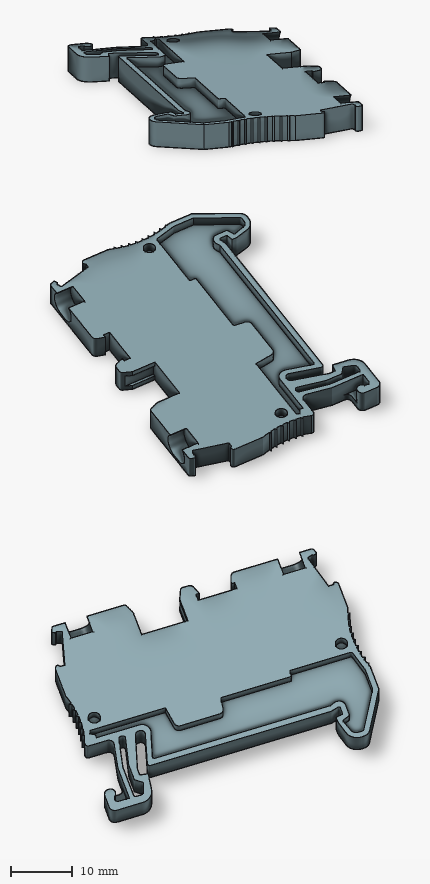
import cadquery as cq
import math

length = 48.5
height = 35.2
thickness = 4.2

neck_y = 12.6
slot_floor_y = 32.2
rail_y = 6.0
foot_x = 0.15
strut_x = 3.8
foot_top_y = 4.05

lip_x = 0.15
lip_y = 13.3
lip_top_y = 14.45

recess_depth = 1.65
foot_floor = 1.2
foot_tip_radius = 0.9

finger_x = 23.2
wide_slot_floor_y = 29.2
finger_skin = 0.9
finger_setback = 0.5

hole_diameter = 2.0
hole_depth = 1.65
hole_inset = 3.1
hole_y = 17.2

groove_inset = 6.05
groove_flat = 1.3
groove_radius = 2.05
groove_center_z = 2.55

grip_radius = 15.5
grip_y = 17.4
left_grip_depth = 0.82
right_grip_depth = 1.05
ridge_pitch = 1.2
ridge_height = 0.4
ridge_width = 0.4


def rounded_profile(corners):
    """Closed wire through corners (x, y) or (x, y, radius); a radius rounds that corner."""
    path = None
    count = len(corners)
    for i in range(count):
        corner = cq.Vector(*corners[i][:2])
        if len(corners[i]) == 2:
            points = [corner]
        else:
            radius = corners[i][2]
            to_last = (cq.Vector(*corners[i - 1][:2]) - corner).normalized()
            to_next = (cq.Vector(*corners[(i + 1) % count][:2]) - corner).normalized()
            half_angle = to_last.getAngle(to_next) / 2
            setback = radius / math.tan(half_angle)
            bulge = radius / math.sin(half_angle) - radius
            middle = corner + (to_last + to_next).normalized() * bulge
            points = [corner + to_last * setback, middle, corner + to_next * setback]
        points = [point.toTuple()[:2] for point in points]
        if path is None:
            path = cq.Workplane("XY").moveTo(*points[0])
        else:
            path = path.lineTo(*points[0])
        if len(points) == 3:
            path = path.threePointArc(points[1], points[2])
    return path.close()


def mirrored(corners):
    """The same corners on the other end of the part, in reverse order."""
    return [(length - corner[0],) + corner[1:] for corner in reversed(corners)]


end_hook = [
    (0, 28.25, 0.6),
    (0.65, 28.25),
    (0.9, 27.9),
    (1.7, 27.9),
    (3.25, 33.85, 0.2),
    (2.4, 34.15),
    (2.15, 33.95),
    (1.55, 34.2, 0.25),
    (1.95, height, 0.45),
]

top_edge = [
    (14.5, height, 0.4),
    (15.3, 33.35),
    (15.3, wide_slot_floor_y),
    (finger_x, wide_slot_floor_y),
    (finger_x, 33.35),
    (23.95, height, 0.6),
    (25.85, height, 0.85),
    (26.55, 33.3),
    (25.95, 33.3),
    (25.95, slot_floor_y),
    (32.6, slot_floor_y),
    (32.6, 33.3),
    (32.0, 33.3),
    (32.55, height, 0.85),
]

rigid_foot = [
    (length, 7.45),
    (44.25, 0, 1.45),
    (41.25, 0, 2.2),
    (40.25, 3.8),
    (40.25, 4.7),
    (41.45, 4.95),
    (41.45, 6.45, 0.25),
    (39.9, rail_y),
]

snap_foot = [
    (8.45, rail_y, 0.4),
    (10.25, neck_y, 0.75),
    (8.6, neck_y, 0.75),
    (6.75, 6.05),
    (6.75, 4.95),
    (8.1, 4.7, 0.2),
    (7.45, 0, 2.2),
    (foot_x, 0, 0.95),
    (foot_x, foot_top_y, foot_tip_radius),
    (strut_x, foot_top_y, 0.9),
    (strut_x, 7.25),
    (4.8, neck_y, 0.85),
    (lip_x, neck_y, 0.5),
    (lip_x, lip_y),
    (0, lip_top_y),
]

outline = end_hook + top_edge + mirrored(end_hook) + rigid_foot + snap_foot
body = rounded_profile(outline).extrude(thickness)


def grip_cutter(depth):
    """Cylinder that hollows the side x = 0 by the given depth."""
    center_x = depth - grip_radius
    return cq.Workplane("XY").center(center_x, grip_y).circle(grip_radius).extrude(thickness)


def grip_x(depth, y):
    """Where the hollow of the side x = 0 lies at height y."""
    return depth - grip_radius + math.sqrt(grip_radius**2 - (y - grip_y) ** 2)


def grip_ridges(depth, first_step, last_step):
    """Pointed ridges standing on the hollow of the side x = 0, counted from the hole height."""
    ridges = cq.Workplane("XY")
    for step in range(first_step, last_step + 1):
        y = hole_y + step * ridge_pitch
        base_x = grip_x(depth, y)
        tip_x = max(base_x - ridge_height, 0)
        root_x = base_x + ridge_width / 2
        corners = [
            (root_x, y - ridge_width / 2),
            (base_x, y - ridge_width / 2),
            (tip_x, y),
            (base_x, y + ridge_width / 2),
            (root_x, y + ridge_width / 2),
        ]
        ridges = ridges.add(rounded_profile(corners).extrude(thickness))
    return ridges.combine()


def at_right_end(shape):
    """Turn a shape made for the side x = 0 to face the side x = length."""
    return shape.mirror("YZ").translate((length, 0, 0))


body = body.cut(grip_cutter(left_grip_depth))
body = body.cut(at_right_end(grip_cutter(right_grip_depth)))
body = body.union(grip_ridges(left_grip_depth, -2, 3))
body = body.union(at_right_end(grip_ridges(right_grip_depth, -4, 4)))

lip_root_x = left_grip_depth + 0.5
lip = [
    (lip_x, neck_y, 0.5),
    (lip_x, lip_y),
    (grip_x(left_grip_depth, lip_top_y), lip_top_y),
    (lip_root_x, lip_top_y),
    (lip_root_x, neck_y),
]
body = body.union(rounded_profile(lip).extrude(thickness))

spring_slot = [
    (4.6, 1.4, 0.3),
    (4.6, 7.15),
    (5.7, neck_y, 0.45),
    (6.85, neck_y, 0.45),
    (5.65, 7.25),
    (5.65, 4.35, 0.25),
    (6.85, 3.45, 0.2),
    (6.15, 1.4, 0.7),
]
body = body.cut(rounded_profile(spring_slot).extrude(thickness))

foot_tip_x = foot_x + foot_tip_radius
foot_hollow_y = 1.45
foot_hollow_top_y = foot_top_y + 0.95
foot_hollow = (
    cq.Workplane("XY", origin=(0, 0, foot_floor))
    .moveTo(foot_tip_x, foot_top_y)
    .threePointArc((foot_tip_x + foot_tip_radius, foot_top_y - foot_tip_radius), (1.55, 2.45))
    .lineTo(1.45, 1.95)
    .threePointArc((1.6, 1.6), (1.95, foot_hollow_y))
    .lineTo(strut_x, foot_hollow_y)
    .lineTo(strut_x, foot_hollow_top_y)
    .lineTo(foot_tip_x, foot_hollow_top_y)
    .close()
    .extrude(thickness)
)
body = body.cut(foot_hollow)

recess_top_y = 15.25
recess = [
    (1.65, recess_top_y, 0.25),
    (14.6, recess_top_y),
    (15.15, 11.35, 0.85),
    (23.35, 11.35, 0.85),
    (23.65, 14.1, 0.3),
    (35.85, 14.1, 0.2),
    (35.85, recess_top_y, 0.2),
    (46.5, recess_top_y, 0.4),
    (47.55, 11.4),
    (47.55, 7.7),
    (43.7, 0.95, 0.45),
    (42.0, 0.95, 1.05),
    (41.1, 3.8, 0.15),
    (42.45, 4.35, 0.3),
    (42.45, 7.4, 1.05),
    (40.95, 7.4, 0.4),
    (40.1, 7.05),
    (9.65, 7.05, 0.3),
    (11.5, 13.65, 1.45),
    (2.3, 13.65),
    (2.3, 14.2, 0.2),
    (1.45, 14.7),
    (1.6, 14.85),
]
recess_floor = thickness - recess_depth
body = body.cut(rounded_profile(recess).extrude(recess_depth).translate((0, 0, recess_floor)))

finger_recess = cq.Workplane("XY", origin=(finger_x, wide_slot_floor_y, finger_skin)).box(
    finger_setback,
    height - wide_slot_floor_y,
    thickness - 2 * finger_skin,
    centered=False,
)
body = body.cut(finger_recess)

for hole_x in (hole_inset, length - hole_inset):
    hole = cq.Workplane("XY", origin=(hole_x, hole_y, thickness)).circle(hole_diameter / 2)
    body = body.cut(hole.extrude(-hole_depth))

groove_length = height - slot_floor_y
for groove_x in (groove_inset, length - groove_inset):
    groove = (
        cq.Workplane("XZ", origin=(groove_x, height, groove_center_z))
        .slot2D(groove_flat + 2 * groove_radius, 2 * groove_radius)
        .extrude(groove_length)
    )
    body = body.cut(groove)

result = body